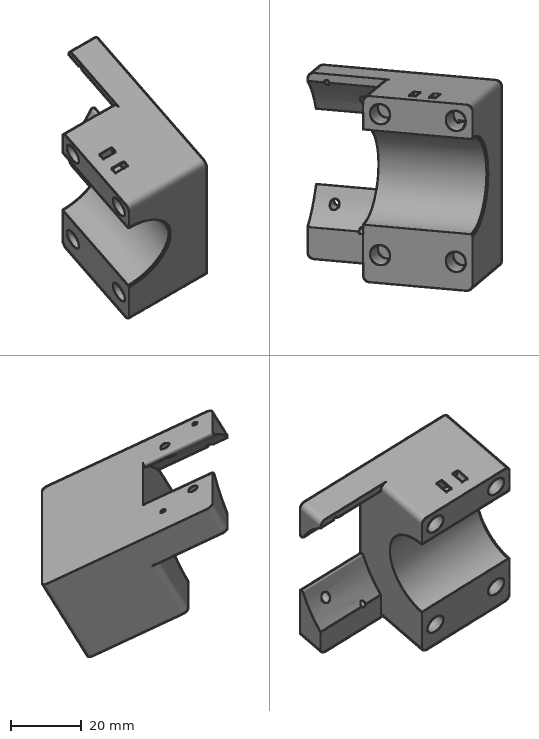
import cadquery as cq
import math

length = 54.9
depth = 27.0
height = 54.8
corner_radius = 1.9

block_start = 22.35
arm_thickness = 9.05
arm_front = depth - arm_thickness
half_height = height / 2

axis_z = 3.4
bore_radius = 14.0
bore_chamfer = 0.45
clearance_radius = 28.0
arm_gap_half = 11.1
tip_radius = 0.75

screw_xs = (27.4, 49.9)
screw_zs = (-19.1, 22.35)
screw_mouth_radius = 2.95
screw_radius = 2.65
screw_taper_depth = 1.3
screw_depth = 6.05

notch_left = 48.85
notch_top = 20.75
notch_depth = 2.2

tie_x = 38.7
tie_inner_radius = 2.0
tie_outer_radius = 3.95
tie_front = 3.95
tie_width = 4.3

pin_radius = 1.35
pin_offset = 15.7
pin_places = ((15.35, 1), (6.3, -1))
wire_radius = 0.75
wire_offset = 21.4
wire_places = ((5.65, 1), (16.0, -1))
wire_tilt_degrees = 7
wire_tilt = math.radians(wire_tilt_degrees)


def cylinder_y(x, z, radius, start, span):
    """Cylinder along +Y starting at Y = start."""
    return cq.Workplane(cq.Solid.makeCylinder(radius, span, cq.Vector(x, start, z), cq.Vector(0, 1, 0)))


def rounded_plate(x_start, y_start):
    """Full-height plate from (x_start, y_start) to the far end and the back."""
    return (
        cq.Workplane("XY")
        .box(length - x_start, depth - y_start, height, centered=(False, False, True))
        .translate((x_start, y_start, 0))
        .edges("|Y")
        .fillet(corner_radius)
    )


def make_arms():
    """Back plate opened by a gap, with concave inner faces on both arms."""
    plate = rounded_plate(0, arm_front)
    gap = (
        cq.Workplane("XY")
        .box(block_start, depth, 2 * arm_gap_half, centered=(False, False, True))
        .translate((0, 0, axis_z))
    )
    clearance = cq.Workplane(
        cq.Solid.makeCylinder(clearance_radius, block_start, cq.Vector(0, 0, axis_z), cq.Vector(1, 0, 0))
    )
    arms = plate.cut(gap).cut(clearance)
    tip_y = math.sqrt(clearance_radius**2 - arm_gap_half**2)
    for side in (-1, 1):
        for y in (tip_y, depth):
            edge_point = (block_start / 2, y, axis_z + side * arm_gap_half)
            arms = arms.edges(cq.NearestToPointSelector(edge_point)).fillet(tip_radius)
    return arms


def make_bore():
    """Bore along X, flared where it leaves the far end."""
    bore = cq.Solid.makeCylinder(
        bore_radius, length - block_start, cq.Vector(block_start, 0, axis_z), cq.Vector(1, 0, 0)
    )
    flare = cq.Solid.makeCone(
        bore_radius,
        bore_radius + bore_chamfer,
        bore_chamfer,
        cq.Vector(length - bore_chamfer, 0, axis_z),
        cq.Vector(1, 0, 0),
    )
    return cq.Workplane(bore).union(cq.Workplane(flare))


def make_screw_hole(x, z):
    """Blind hole from the front face with a tapered mouth."""
    mouth = cq.Solid.makeCone(
        screw_mouth_radius, screw_radius, screw_taper_depth, cq.Vector(x, 0, z), cq.Vector(0, 1, 0)
    )
    return cylinder_y(x, z, screw_radius, 0, screw_depth).union(cq.Workplane(mouth))


def make_floor_notch():
    """Deepening of the lower right part of the upper far screw hole."""
    x, z = screw_xs[-1], screw_zs[-1]
    corner = (
        cq.Workplane("XY")
        .box(2 * screw_radius, notch_depth, 2 * screw_radius, centered=False)
        .translate((notch_left, screw_depth, notch_top - 2 * screw_radius))
    )
    return cylinder_y(x, z, screw_radius, screw_depth, notch_depth).intersect(corner)


def make_tie_channel():
    """Ring centred on the top face; its lower half forms the channel."""
    outer = cylinder_y(tie_x, half_height, tie_outer_radius, tie_front, tie_width)
    return outer.cut(cylinder_y(tie_x, half_height, tie_inner_radius, tie_front, tie_width))


def make_wire_hole(x, side):
    """Slanted hole that nears the bore axis towards the back of the arm."""
    direction = cq.Vector(0, math.cos(wire_tilt), -side * math.sin(wire_tilt))
    mouth = cq.Vector(x, arm_front, axis_z + side * wire_offset)
    start = mouth - direction * arm_thickness
    return cq.Workplane(cq.Solid.makeCylinder(wire_radius, 3 * arm_thickness, start, direction))


result = rounded_plate(block_start, 0).union(make_arms())
result = result.cut(make_bore())

for screw_x in screw_xs:
    for screw_z in screw_zs:
        result = result.cut(make_screw_hole(screw_x, screw_z))
result = result.cut(make_floor_notch())
result = result.cut(make_tie_channel())

for pin_x, pin_side in pin_places:
    result = result.cut(cylinder_y(pin_x, axis_z + pin_side * pin_offset, pin_radius, 0, depth))
for wire_x, wire_side in wire_places:
    result = result.cut(make_wire_hole(wire_x, wire_side))